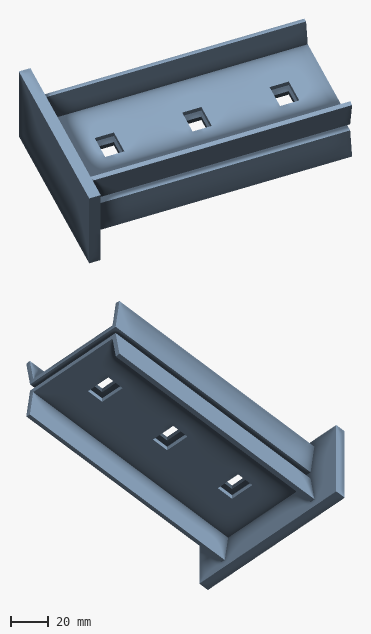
import cadquery as cq
import math

overall_length = 156.5
plate_width = 100.0
plate_height = 50.0
plate_thickness = 6.5

channel_length = overall_length - plate_thickness
channel_gap = 4.7
channel_width = 68.0
channel_height = 17.8
sheet_thickness = 2.7
flare_angle = math.radians(9)

window_width = 14.9
window_length = 11.0
window_count = 3
window_pitch = 50.0
window_end_distance = window_pitch / 2


def make_plate():
    return cq.Workplane("XY").box(
        plate_width, plate_thickness, plate_height, centered=(True, False, True)
    )


def make_channel():
    """Upper channel: floor at the bottom, flanges leaning outward, tips square to the flanges."""
    floor_bottom = channel_gap / 2
    floor_top = floor_bottom + sheet_thickness
    tip_inner_z = floor_bottom + channel_height
    tip_outer_z = tip_inner_z - sheet_thickness * math.sin(flare_angle)

    tip_outer_x = channel_width / 2
    tip_inner_x = tip_outer_x - sheet_thickness * math.cos(flare_angle)
    floor_outer_x = tip_outer_x - (tip_outer_z - floor_bottom) * math.tan(flare_angle)
    floor_inner_x = tip_inner_x - (tip_inner_z - floor_top) * math.tan(flare_angle)

    right_side = [
        (floor_outer_x, floor_bottom),
        (tip_outer_x, tip_outer_z),
        (tip_inner_x, tip_inner_z),
        (floor_inner_x, floor_top),
    ]
    left_side = [(-x, z) for x, z in reversed(right_side)]

    channel = (
        cq.Workplane("XZ", origin=(0, plate_thickness, 0))
        .polyline(right_side + left_side)
        .close()
        .extrude(-channel_length)
    )
    for index in range(window_count):
        window_y = overall_length - window_end_distance - index * window_pitch
        window = cq.Workplane("XY", origin=(0, window_y, floor_bottom)).box(
            window_width, window_length, sheet_thickness, centered=(True, True, False)
        )
        channel = channel.cut(window)
    return channel


plate = make_plate()
channels = []
for flipped in (False, True):
    channel = make_channel()
    if flipped:
        channel = channel.mirror("XY")
    channels.append(channel.val())

result = cq.Compound.makeCompound([plate.val(), *channels])